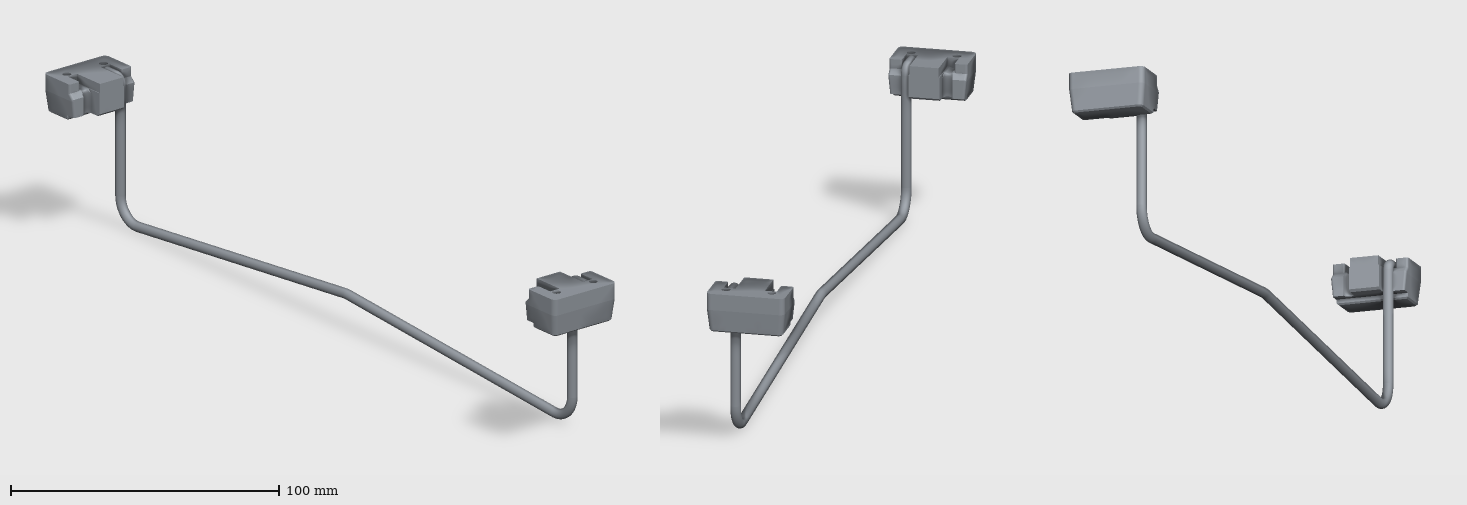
import cadquery as cq
import math

length = 303.0
end_x = -length / 2
height = 60.5

wire_d = 4.0
wire_r = wire_d / 2
wire_y = 8.0
wire_leg_inset = 17.5
leg_x = end_x + wire_leg_inset
wire_end_inset = 9.5
wire_top_z = -2.0
hook_bend_r = 2.7
corner_bend_r = 9.7
middle_bend_r = 16.5
rise_angle = math.radians(4.8)

mount_width = 30.0
mount_corner_r = 1.97
parting_z = -6.5
draft = 6.0
foot_length = 13.3
foot_bottom_z = -15.0
foot_chamfer = 0.5

clip_bottom_z = -13.0
prong_length = wire_leg_inset
prong_top_length = prong_length - wire_r
shoulder_z = -3.5
prong_corner_r = 1.0
prong_inner_r = 0.5
margin = 0.15
tongue_length = 22.0
tongue_chamfer = 1.0
slot_side_gap = 0.3
slot_start = 8.5
slot_depth = -shoulder_z
hole_d = 3.3
hole_inset = 6.5
hole_y = 8.8
hole_depth = 3.5

slot_inner_y = wire_y - wire_r - slot_side_gap
slot_outer_y = wire_y + wire_r + slot_side_gap


def block(x0, x1, y0, y1, z0, z1):
    """Box between two corners; x is measured inward from the left mount's outer face."""
    size = (x1 - x0, y1 - y0, z1 - z0)
    return cq.Workplane("XY").box(*size, centered=False).translate((end_x + x0, y0, z0))


def drafted_lower():
    """Drafted lower half of the mount, longer than needed so that its inner end can be trimmed."""
    reach = 2 * tongue_length
    lower = cq.Workplane("XY").rect(reach, mount_width).extrude(parting_z - foot_bottom_z, taper=draft)
    lower = lower.faces("<X").edges("not |Y").fillet(mount_corner_r)
    return lower.mirror("XY").translate((end_x + reach / 2, 0, parting_z))


def make_foot():
    """Block that hangs below the parting level, deeper than the clip beside it."""
    trim = block(0, foot_length, -mount_width, mount_width, foot_bottom_z, parting_z)
    return drafted_lower().intersect(trim).faces("<Z").chamfer(foot_chamfer)


def clip_body():
    """Clip body before slotting: an upper plate, a sloped shoulder and a drafted lower part."""
    slope = prong_length - prong_top_length
    half = mount_width / 2
    body = (
        cq.Workplane("XZ")
        .moveTo(end_x, 0)
        .lineTo(end_x + prong_top_length, 0)
        .lineTo(end_x + prong_top_length, shoulder_z)
        .lineTo(end_x + prong_length, shoulder_z - slope)
        .lineTo(end_x + prong_length, parting_z)
        .lineTo(end_x, parting_z)
        .close()
        .extrude(half, both=True)
    )
    body = body.edges("|Z and <X").fillet(mount_corner_r)
    trim = block(foot_length, prong_length, -mount_width, mount_width, clip_bottom_z, parting_z)
    return body.union(drafted_lower().intersect(trim))


def clip_tongue():
    """Tongue between the slots; it widens to meet the wire's leg below the slot floor."""
    upper = block(slot_start, tongue_length, -slot_inner_y, slot_inner_y, -slot_depth, 0)
    low_y = slot_inner_y + slot_side_gap
    lower = block(foot_length, tongue_length, -low_y, low_y, clip_bottom_z, -slot_depth)
    lower = lower.faces("<Z").edges(">X").chamfer(tongue_chamfer)
    return upper.union(lower)


def wire_section(x):
    """Cross-section of the wire where its horizontal end passes the given x."""
    return cq.Workplane("YZ", origin=(x, wire_y, wire_top_z)).circle(wire_r)


def hook_path(start_x):
    """Start of the wire's path: inward from the given x, then bent down into the left leg."""
    return (
        cq.Workplane("XZ", origin=(0, wire_y, 0))
        .moveTo(start_x, wire_top_z)
        .lineTo(leg_x - hook_bend_r, wire_top_z)
        .tangentArcPoint((leg_x, wire_top_z - hook_bend_r), relative=False)
    )


def wire_channel(side):
    """Slot on one side, with a round groove that follows the wire through its hook and down its leg."""
    slot = block(slot_start, tongue_length, slot_inner_y, slot_outer_y, -slot_depth, 0)
    start_x = end_x + slot_start
    groove_path = hook_path(start_x).lineTo(leg_x, foot_bottom_z)
    groove = wire_section(start_x).sweep(groove_path)
    channel = slot.union(groove)
    return channel if side > 0 else channel.mirror("XZ")


def round_prong_corners(clip, side):
    """Round one prong's end: the whole outer corner, and the inner corner above the shoulder."""
    x0 = end_x + prong_top_length - margin
    x1 = end_x + prong_length + margin
    outer_y = side * mount_width / 2
    inner_y = side * slot_outer_y
    outer = cq.selectors.BoxSelector(
        (x0, outer_y - prong_corner_r, clip_bottom_z - margin),
        (x1, outer_y + prong_corner_r, margin),
        boundingbox=True,
    )
    inner = cq.selectors.BoxSelector(
        (x0, inner_y - margin, shoulder_z - margin),
        (x1, inner_y + margin, margin),
        boundingbox=True,
    )
    clip = clip.edges(outer).edges("not #Z").fillet(prong_corner_r)
    return clip.edges(inner).edges("|Z").fillet(prong_inner_r)


def make_clip():
    """Left clip, with a slot, a wire groove and a small blind hole on each side."""
    clip = clip_body().union(clip_tongue())
    for side in (1, -1):
        clip = clip.cut(wire_channel(side))
        hole = cq.Workplane("XY").center(end_x + hole_inset, side * hole_y).circle(hole_d / 2)
        clip = clip.cut(hole.extrude(-hole_depth))
        clip = round_prong_corners(clip, side)
    return clip


def make_wire():
    """Round wire swept along a path that is symmetric about the middle of the part."""
    corner_z = wire_r - height + corner_bend_r
    run_start_x = leg_x + corner_bend_r * (1 + math.sin(rise_angle))
    run_start_z = corner_z - corner_bend_r * math.cos(rise_angle)
    run_end_x = -middle_bend_r * math.sin(rise_angle)
    run_end_z = run_start_z + (run_end_x - run_start_x) * math.tan(rise_angle)
    peak_z = run_end_z + middle_bend_r * (1 - math.cos(rise_angle))

    tip_x = end_x + wire_end_inset
    path = (
        hook_path(tip_x)
        .lineTo(leg_x, corner_z)
        .tangentArcPoint((run_start_x, run_start_z), relative=False)
        .lineTo(run_end_x, run_end_z)
        .threePointArc((0, peak_z), (-run_end_x, run_end_z))
        .lineTo(-run_start_x, run_start_z)
        .tangentArcPoint((-leg_x, corner_z), relative=False)
        .lineTo(-leg_x, wire_top_z - hook_bend_r)
        .tangentArcPoint((-leg_x + hook_bend_r, wire_top_z), relative=False)
        .lineTo(-tip_x, wire_top_z)
    )
    return wire_section(tip_x).sweep(path)


wire = make_wire()
left_clip = make_clip()
left_foot = make_foot()

bodies = [wire.val()]
for left_body in (left_clip, left_foot):
    bodies.append(left_body.solids().val())
    bodies.append(left_body.mirror("YZ").solids().val())

result = cq.Compound.makeCompound(bodies)